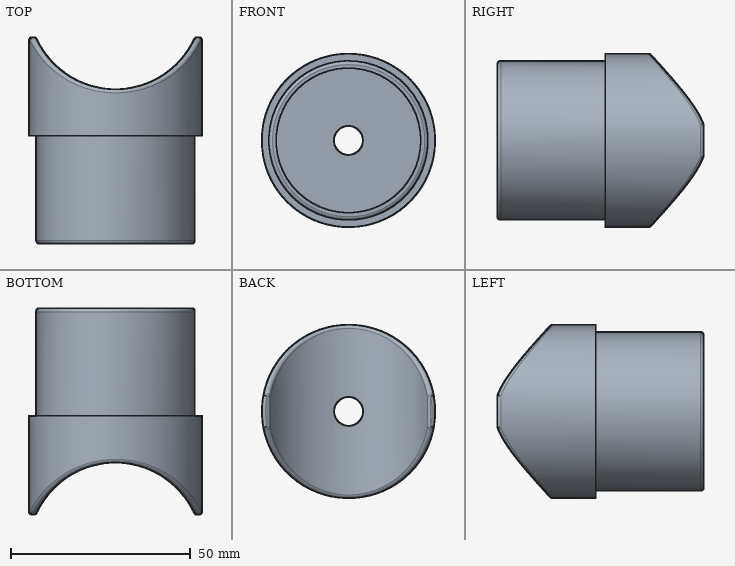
import cadquery as cq

total_length = 57.5
outer_diameter = 48.3
wall = 2.0
spigot_length = 30.0
hole_diameter = 8.0
edge_round = 1.0

outer_radius = outer_diameter / 2
spigot_radius = outer_radius - wall
bore_radius = spigot_radius - wall
saddle_radius = outer_radius
spigot_end = -total_length / 2
shoulder = spigot_end + spigot_length
tip = total_length / 2
saddle_axis = tip + (saddle_radius**2 - spigot_radius**2) ** 0.5


def disc(radius, start, end):
    """Solid cylinder along Y between two stations."""
    return cq.Workplane("XZ", origin=(0, start, 0)).circle(radius).extrude(start - end)


def make_collar():
    """Collar with a saddle-shaped end that seats on a round pipe along Z."""
    saddle = (
        cq.Workplane("XY")
        .center(0, saddle_axis)
        .circle(saddle_radius)
        .extrude(outer_diameter, both=True)
    )
    collar = disc(outer_radius, shoulder, tip)
    collar = collar.cut(saddle)
    return collar.edges(">Y or %ELLIPSE").fillet(edge_round)


def make_spigot():
    """Tubular spigot with a rounded outer edge at its free end; the collar closes its bore."""
    spigot = disc(spigot_radius, spigot_end, shoulder)
    spigot = spigot.edges("<Y").fillet(edge_round)
    return spigot.cut(disc(bore_radius, spigot_end, shoulder))

result = make_collar().union(make_spigot())
result = result.cut(disc(hole_diameter / 2, spigot_end, tip))